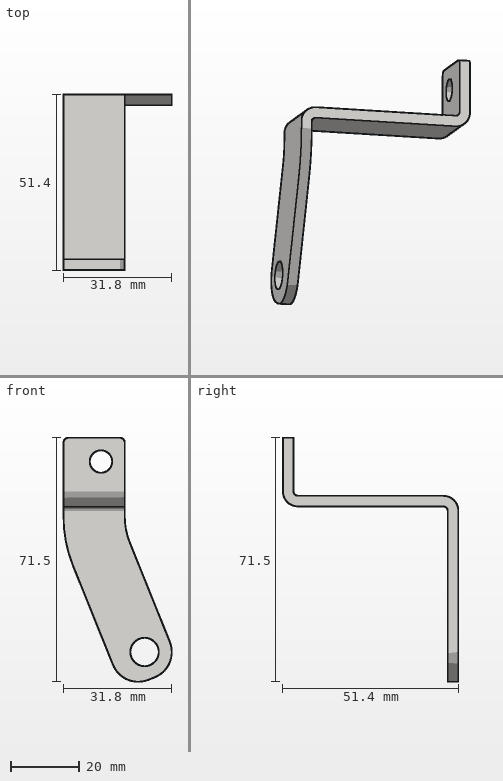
import cadquery as cq
import math

width = 18.0
thickness = 3.175
bend_inner = 1.27
bend_outer = bend_inner + thickness
depth = 51.41
height = 71.49
reach = 31.75

tab_height = 17.0
tab_corner = 1.5
tab_hole_diameter = 6.5
tab_hole_margin = 7.0

arm_angle = math.radians(21.95)
sweep_inner = 20.0
sweep_outer = sweep_inner + width
arm_corner = 8.0
arm_hole_diameter = 8.25

front_y = -depth
shelf_top = -tab_height
shelf_bottom = shelf_top - thickness
sin_a = math.sin(arm_angle)
cos_a = math.cos(arm_angle)

arm_run = (reach - arm_corner - sweep_outer + (sweep_inner + arm_corner) * cos_a) / sin_a

sweep_z = arm_corner - height + (sweep_outer - arm_corner) * sin_a + arm_run * cos_a


def arm_point(radius, along, angle=arm_angle):
    """Point at a radius from the sweep centre, moved along the arm past the sweep."""
    x = sweep_outer - radius * math.cos(angle) + along * sin_a
    z = sweep_z - radius * math.sin(angle) - along * cos_a
    return (x, z)


def make_strap():
    """Z-shaped side profile with rounded bends, extruded across the width."""
    profile = (
        cq.Workplane("YZ")
        .moveTo(front_y, 0)
        .lineTo(front_y, shelf_bottom + bend_outer)
        .radiusArc((front_y + bend_outer, shelf_bottom), -bend_outer)
        .lineTo(-thickness - bend_inner, shelf_bottom)
        .radiusArc((-thickness, shelf_bottom - bend_inner), bend_inner)
        .lineTo(-thickness, -height)
        .lineTo(0, -height)
        .lineTo(0, shelf_top - bend_outer)
        .radiusArc((-bend_outer, shelf_top), -bend_outer)
        .lineTo(front_y + thickness + bend_inner, shelf_top)
        .radiusArc((front_y + thickness, shelf_top + bend_inner), bend_inner)
        .lineTo(front_y + thickness, 0)
        .close()
    )
    return profile.extrude(reach)


def make_outline():
    """Outline across X and Z: straight tab, sweep, tilted arm and rounded end."""
    arm_length = arm_run + arm_corner
    half_angle = arm_angle / 2
    inner_corner = sweep_inner + arm_corner
    outer_corner = sweep_outer - arm_corner
    outline = (
        cq.Workplane("XZ")
        .moveTo(0, 0)
        .lineTo(width, 0)
        .lineTo(width, sweep_z)
        .threePointArc(arm_point(sweep_inner, 0, half_angle), arm_point(sweep_inner, 0))
        .lineTo(*arm_point(sweep_inner, arm_run))
        .radiusArc(arm_point(inner_corner, arm_length), arm_corner)
        .lineTo(*arm_point(outer_corner, arm_length))
        .radiusArc(arm_point(sweep_outer, arm_run), arm_corner)
        .lineTo(*arm_point(sweep_outer, 0))
        .threePointArc(arm_point(sweep_outer, 0, half_angle), (0, sweep_z))
        .close()
    )
    return outline.extrude(depth)


def round_tab_corners(part):
    """Round the two top corners of the tab."""
    return part.faces(">Z").edges("|Y").fillet(tab_corner)


def make_hole(center, diameter, start_depth):
    """Cutter through one wall, running forward from start_depth in front of the back face."""
    plane = cq.Workplane("XZ", origin=(0, -start_depth, 0))
    return plane.center(*center).circle(diameter / 2).extrude(thickness)


tab_hole = make_hole((width - tab_hole_margin, -tab_hole_margin), tab_hole_diameter, depth - thickness)
arm_hole = make_hole(arm_point(sweep_inner + arm_corner, arm_run), arm_hole_diameter, 0)

bracket = make_strap().intersect(make_outline())
result = round_tab_corners(bracket).cut(tab_hole).cut(arm_hole)